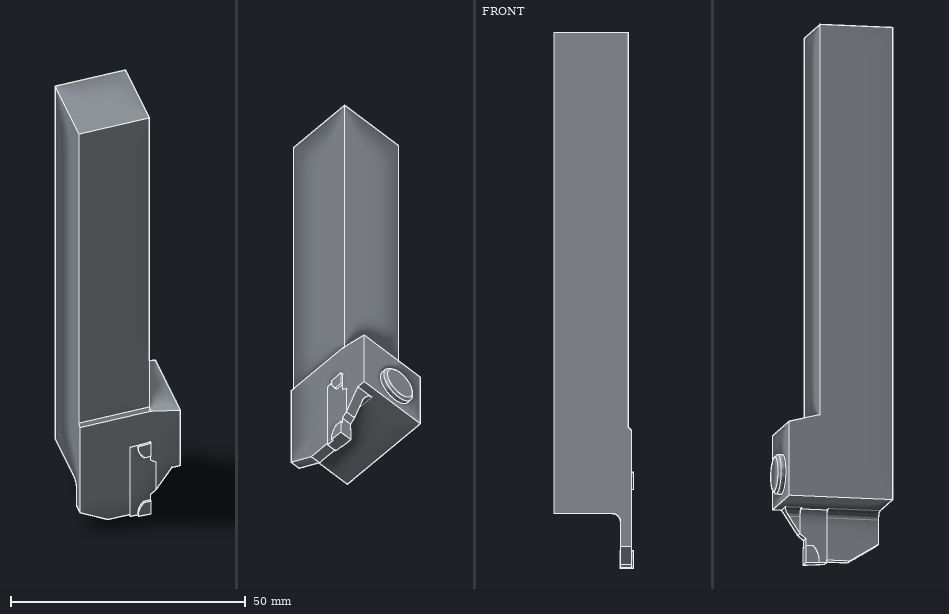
import cadquery as cq

TOTAL_LENGTH = 114.3
SHANK_SIDE = 15.9

HEAD_BOTTOM = 11.7
HEAD_DEPTH = 22.6
HEAD_SLOPE_LOW = 27.8
HEAD_SLOPE_HIGH = 29.5
SIDE_X = 16.6
SIDE_STEP_TOP = 29.5

BLADE_X = 14.2
BLADE_BOTTOM = 0.8
BLADE_ROOT_RADIUS = 1.7
BLADE_BEVEL_Y = 6.3
BLADE_BEVEL_Z = 4.7
BLADE_FRONT_Y = 20.7

INSERT_BACK_Y = 11.3
INSERT_FRONT_Y = 17.1
INSERT_TIP_Y = 15.9
INSERT_LENGTH = 20.6
INSERT_MIDDLE = INSERT_LENGTH / 2
END_RELIEF = 0.2
NOTCH_LOW = 5.3
NOTCH_HIGH = 6.3
EDGE_MIN_X = 14.1
EDGE_MAX_X = 17.0
EDGE_TOP = 3.8
EDGE_ARC_START_Y = 14.3
EDGE_ARC_MIDDLE = (13.4, 2.4)
EDGE_ARC_END_Y = 13.0

SCREW_DIAMETER = 8.5
SCREW_TOP_Y = 24.2
SCREW_X = 7.5
SCREW_Z = 17.6
SCREW_CHAMFER = 0.6


def end_height(y):
    """Height of the insert's sloping lower end face at a given Y."""
    return END_RELIEF * (INSERT_TIP_Y - y) / (INSERT_TIP_Y - INSERT_BACK_Y)


def yz_plane(x):
    return cq.Workplane("YZ", origin=(x, 0, 0))


def make_insert():
    def flipped(z):
        return INSERT_LENGTH - z

    lower_half = [
        (INSERT_BACK_Y, END_RELIEF),
        (INSERT_TIP_Y, 0),
        (INSERT_TIP_Y, NOTCH_LOW),
        (INSERT_FRONT_Y, NOTCH_HIGH),
    ]
    upper_half = [(y, flipped(z)) for y, z in reversed(lower_half)]
    body = (
        yz_plane(BLADE_X)
        .polyline(lower_half + upper_half)
        .close()
        .extrude(SIDE_X - BLADE_X)
    )
    cutting_end = (
        yz_plane(EDGE_MIN_X)
        .moveTo(INSERT_TIP_Y, 0)
        .lineTo(INSERT_TIP_Y, EDGE_TOP)
        .lineTo(EDGE_ARC_START_Y, EDGE_TOP)
        .threePointArc(EDGE_ARC_MIDDLE, (EDGE_ARC_END_Y, end_height(EDGE_ARC_END_Y)))
        .close()
        .extrude(EDGE_MAX_X - EDGE_MIN_X)
    )
    opposite_end = cutting_end.mirror("XY", (0, 0, INSERT_MIDDLE))
    return body.union(cutting_end).union(opposite_end)


def make_shank_and_head():
    shank = cq.Workplane("XY", origin=(0, 0, HEAD_BOTTOM)).box(
        SHANK_SIDE, SHANK_SIDE, TOTAL_LENGTH - HEAD_BOTTOM, centered=False
    )
    head = (
        yz_plane(0)
        .polyline([
            (0, HEAD_BOTTOM),
            (HEAD_DEPTH, HEAD_BOTTOM),
            (HEAD_DEPTH, HEAD_SLOPE_LOW),
            (SHANK_SIDE, HEAD_SLOPE_HIGH),
            (0, HEAD_SLOPE_HIGH),
        ])
        .close()
        .extrude(SIDE_X)
    )
    side_step = SIDE_X - SHANK_SIDE
    run_out = (
        cq.Workplane("XZ")
        .polyline([
            (SHANK_SIDE, SIDE_STEP_TOP),
            (SIDE_X, SIDE_STEP_TOP),
            (SHANK_SIDE, SIDE_STEP_TOP + side_step),
        ])
        .close()
        .extrude(-SHANK_SIDE)
    )
    return shank.union(head).union(run_out)


def make_blade():
    """Blade with its rounded root, trimmed to the outline seen along X."""
    root_x = BLADE_X - BLADE_ROOT_RADIUS
    section = (
        cq.Workplane("XZ")
        .moveTo(SIDE_X, 0)
        .lineTo(SIDE_X, HEAD_BOTTOM)
        .lineTo(root_x, HEAD_BOTTOM)
        .radiusArc((BLADE_X, HEAD_BOTTOM - BLADE_ROOT_RADIUS), BLADE_ROOT_RADIUS)
        .lineTo(BLADE_X, 0)
        .close()
        .extrude(-HEAD_DEPTH)
    )
    outline = (
        yz_plane(0)
        .polyline([
            (0, HEAD_BOTTOM),
            (BLADE_FRONT_Y, HEAD_BOTTOM),
            (INSERT_FRONT_Y, NOTCH_HIGH),
            (INSERT_BACK_Y, NOTCH_HIGH),
            (INSERT_BACK_Y, BLADE_BOTTOM),
            (BLADE_BEVEL_Y, BLADE_BOTTOM),
            (0, BLADE_BEVEL_Z),
        ])
        .close()
        .extrude(SIDE_X)
    )
    slot = cq.Workplane("XY", origin=(0, INSERT_BACK_Y, 0)).box(
        BLADE_X, INSERT_FRONT_Y - INSERT_BACK_Y, HEAD_BOTTOM, centered=False
    )
    return section.intersect(outline).cut(slot)


def make_screw_head():
    return (
        cq.Workplane("XZ", origin=(SCREW_X, HEAD_DEPTH, SCREW_Z))
        .circle(SCREW_DIAMETER / 2)
        .extrude(HEAD_DEPTH - SCREW_TOP_Y)
        .faces(">Y")
        .chamfer(SCREW_CHAMFER)
    )


def make_holder(seated_insert):
    blank = make_shank_and_head().union(make_blade()).union(make_screw_head())
    return blank.cut(seated_insert)


insert = make_insert()
holder = make_holder(insert)

result = cq.Compound.makeCompound([holder.solids().val(), insert.solids().val()])